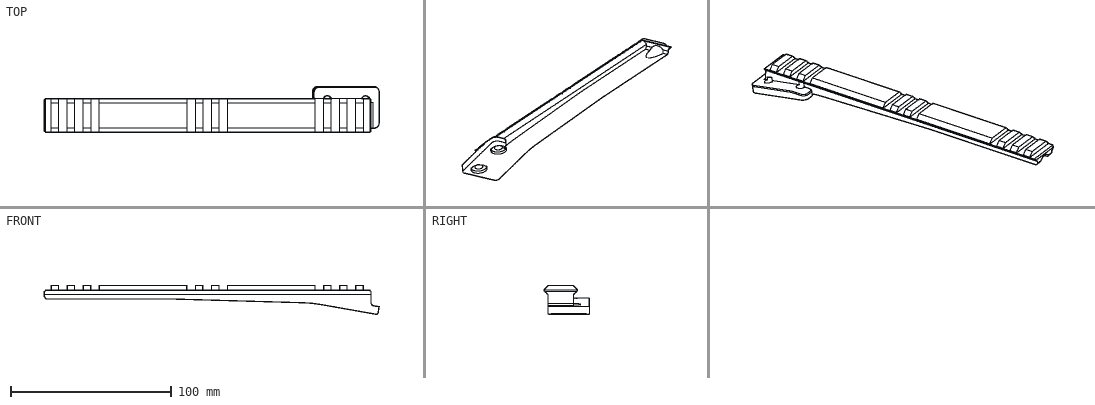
import cadquery as cq
import math


RAIL_LENGTH = 204.2
RAIL_HALF_WIDTH = 10.6
RAIL_TOP_HALF_WIDTH = 7.85
RAIL_EDGE_TOP_Z = RAIL_TOP_HALF_WIDTH - RAIL_HALF_WIDTH
RAIL_EDGE_HEIGHT = 0.4
STEM_HALF_WIDTH = 8.05
RAIL_EDGE_BOTTOM_Z = RAIL_EDGE_TOP_Z - RAIL_EDGE_HEIGHT
RAIL_BOTTOM_Z = RAIL_EDGE_BOTTOM_Z - (RAIL_HALF_WIDTH - STEM_HALF_WIDTH)
END_CHAMFER = 0.9

SLOT_WIDTH = 5.23
SLOT_PITCH = 10.01
SLOT_DEPTH = 3.0
FIRST_SLOT_X = 9.05
SLOT_NUMBERS = (0, 1, 2, 8, 9, 10, 16, 17, 18)
REAR_STEP_NUMBER = -1
FRONT_STEP_NUMBER = 19

STEM_BOTTOM_Z = -8.6
GENTLE_START_X = 80.5
STEEP_START_X = 167.4
GENTLE_SLOPE = math.tan(math.radians(1.64))
STEEP_ANGLE = 10.0
STEEP_SLOPE = math.tan(math.radians(STEEP_ANGLE))
BEND_RADIUS = 80.0
STEEP_START_Z = STEM_BOTTOM_Z - GENTLE_SLOPE * (STEEP_START_X - GENTLE_START_X)
STEM_REAR_CHAMFER_X = 1.2
STEM_REAR_CHAMFER_Z = 1.7

PLATE_REAR_X = 167.4
PLATE_FRONT_X = 209.24
PLATE_REAR_TOP_Z = -7.8
PLATE_BEND_X = 178.2
PLATE_BOTTOM_Z = -18.2
PLATE_LEFT_Y = 18.11
PLATE_RIGHT_Y = -STEM_HALF_WIDTH
PLATE_CORNER_RADIUS = 3.5
PLATE_EDGE_CHAMFER = 0.6
STEM_ROOT_BEVEL = 1.0

HOLE_DIAMETER = 5.0
HEAD_DIAMETER = 10.0
HEAD_DEPTH = 1.6
HOLE_Y = 9.8
HOLE_XS = (176.2, 200.0)
HOLE_HEIGHT = 7.0

RELIEF_RADIUS = 5.2
RELIEF_TOP_Z = -4.9
RELIEF_RUNOUT_X = 12.0


def steep_z(x):
    """Height of the steep underside at x."""
    return STEEP_START_Z - STEEP_SLOPE * (x - STEEP_START_X)


def plate_top_z(x):
    """Height of the sloping plate top at x."""
    return PLATE_REAR_TOP_Z - STEEP_SLOPE * (x - PLATE_BEND_X)


def extrude_across(outline, y_from, y_to):
    """Prism of an XZ outline between two Y positions."""
    return (
        cq.Workplane("XZ", origin=(0, y_to, 0))
        .polyline(outline)
        .close()
        .extrude(y_to - y_from)
    )


def slot_start(number):
    """Rear wall of a cross slot on the regular pitch."""
    return FIRST_SLOT_X + number * SLOT_PITCH


def make_slot(x_from, x_to):
    """Cutter across the rail top between two X positions."""
    middle = (x_from + x_to) / 2
    return (
        cq.Workplane("XY", origin=(middle, 0, -SLOT_DEPTH))
        .rect(x_to - x_from, 2 * RAIL_HALF_WIDTH)
        .extrude(SLOT_DEPTH)
    )


def make_end_envelope():
    """Block around the rail with bevelled upright corners and bevelled end steps."""
    lower = (
        cq.Workplane("XY", origin=(RAIL_LENGTH / 2, 0, RAIL_BOTTOM_Z))
        .rect(RAIL_LENGTH, 2 * RAIL_HALF_WIDTH)
        .extrude(-SLOT_DEPTH - RAIL_BOTTOM_Z)
        .edges("|Z or (>Z and |Y)")
        .chamfer(END_CHAMFER)
    )
    upper = make_slot(slot_start(REAR_STEP_NUMBER) + SLOT_WIDTH, slot_start(FRONT_STEP_NUMBER))
    return lower.union(upper)


def make_rail_head():
    """Dovetail rail with cross slots and a lower step at each end."""
    half_section = [
        (RAIL_TOP_HALF_WIDTH, 0),
        (RAIL_HALF_WIDTH, RAIL_EDGE_TOP_Z),
        (RAIL_HALF_WIDTH, RAIL_EDGE_BOTTOM_Z),
        (STEM_HALF_WIDTH, RAIL_BOTTOM_Z),
    ]
    mirrored = [(-y, z) for y, z in reversed(half_section)]
    head = cq.Workplane("YZ").polyline(half_section + mirrored).close().extrude(RAIL_LENGTH)
    for number in SLOT_NUMBERS:
        head = head.cut(make_slot(slot_start(number), slot_start(number) + SLOT_WIDTH))
    head = head.cut(make_slot(0, slot_start(REAR_STEP_NUMBER) + SLOT_WIDTH))
    head = head.cut(make_slot(slot_start(FRONT_STEP_NUMBER), RAIL_LENGTH))
    return head.intersect(make_end_envelope())


def make_stem():
    """Body under the rail: level, then gently and finally steeply deepening to the front."""
    outline = [
        (0, RAIL_BOTTOM_Z),
        (0, STEM_BOTTOM_Z + STEM_REAR_CHAMFER_Z),
        (STEM_REAR_CHAMFER_X, STEM_BOTTOM_Z),
        (GENTLE_START_X, STEM_BOTTOM_Z),
        (STEEP_START_X, STEEP_START_Z),
        (RAIL_LENGTH, steep_z(RAIL_LENGTH)),
        (RAIL_LENGTH, RAIL_BOTTOM_Z),
    ]
    stem = extrude_across(outline, -STEM_HALF_WIDTH, STEM_HALF_WIDTH)
    bend = cq.selectors.NearestToPointSelector((STEEP_START_X, 0, STEEP_START_Z))
    return stem.edges("|Y").edges(bend).fillet(BEND_RADIUS)


def slope_plane(x, y, z):
    """Workplane square to the plate slope: local x runs forward down the slope."""
    angle = math.radians(STEEP_ANGLE)
    return cq.Plane(
        origin=(x, y, z),
        xDir=(math.cos(angle), 0, -math.sin(angle)),
        normal=(math.sin(angle), 0, math.cos(angle)),
    )


def rounded_slab(rear_distance, front_distance, y_from, y_to):
    """Upright slab leaning with the slope; distances run down the slope from the plate's rear."""
    length = front_distance - rear_distance
    width = y_to - y_from
    return (
        cq.Workplane("XY")
        .rect(length, width)
        .extrude(-PLATE_BOTTOM_Z, both=True)
        .edges("|Z")
        .fillet(PLATE_CORNER_RADIUS)
        .translate((rear_distance + length / 2, y_from + width / 2, 0))
        .rotate((0, 0, 0), (0, 1, 0), STEEP_ANGLE)
        .translate((PLATE_REAR_X, 0, steep_z(PLATE_REAR_X)))
    )


def make_plate():
    """Sloping plate with a flat-topped lug at its rear left."""
    front_top_z = plate_top_z(PLATE_FRONT_X)
    toe_x = STEEP_START_X + (STEEP_START_Z - PLATE_BOTTOM_Z) / STEEP_SLOPE
    top_line = [
        (PLATE_FRONT_X, front_top_z),
        (PLATE_BEND_X, PLATE_REAR_TOP_Z),
        (PLATE_REAR_X, PLATE_REAR_TOP_Z),
    ]
    bottom_line = [
        (PLATE_REAR_X, steep_z(PLATE_REAR_X)),
        (toe_x, PLATE_BOTTOM_Z),
        (PLATE_FRONT_X, PLATE_BOTTOM_Z + PLATE_FRONT_X - toe_x),
    ]
    profile = extrude_across(bottom_line + top_line, PLATE_RIGHT_Y, PLATE_LEFT_Y)

    rear_z = steep_z(PLATE_REAR_X)
    angle = math.radians(STEEP_ANGLE)
    slope_length = (
        (PLATE_FRONT_X - PLATE_REAR_X) * math.cos(angle) + (rear_z - front_top_z) * math.sin(angle)
    )
    past_front = slope_length + 2 * PLATE_CORNER_RADIUS

    lug = profile.intersect(rounded_slab(0, past_front, STEM_HALF_WIDTH, PLATE_LEFT_Y))
    lug_middle_y = (STEM_HALF_WIDTH + PLATE_LEFT_Y) / 2
    bend = cq.selectors.NearestToPointSelector((PLATE_BEND_X, lug_middle_y, PLATE_REAR_TOP_Z))
    top_edges = cq.selectors.BoxSelector(
        (PLATE_REAR_X, 0, PLATE_BOTTOM_Z),
        (PLATE_FRONT_X - PLATE_CORNER_RADIUS, 2 * PLATE_LEFT_Y, 0),
    )
    flat_or_slope = f">Z or >({STEEP_SLOPE}, 0, 1)"
    lug = lug.faces(flat_or_slope).edges(top_edges - bend).chamfer(PLATE_EDGE_CHAMFER)

    foot = profile.intersect(
        rounded_slab(2 * PLATE_CORNER_RADIUS, past_front, PLATE_RIGHT_Y, lug_middle_y)
    )
    front_end = rounded_slab(-slope_length, slope_length, PLATE_RIGHT_Y, PLATE_LEFT_Y)
    return lug.union(foot).intersect(front_end)


def make_stem_root():
    """Straight bevel in the corner where the stem's front face meets the plate."""
    corner = (RAIL_LENGTH, plate_top_z(RAIL_LENGTH))
    above = (RAIL_LENGTH, corner[1] + STEM_ROOT_BEVEL)
    ahead_x = RAIL_LENGTH + STEM_ROOT_BEVEL
    return extrude_across(
        [corner, above, (ahead_x, plate_top_z(ahead_x))], -STEM_HALF_WIDTH, STEM_HALF_WIDTH
    )


def make_screw_hole(x):
    """Through hole with a flat head recess in the underside."""
    below = cq.Workplane(slope_plane(x, HOLE_Y, steep_z(x)))
    shank = below.circle(HOLE_DIAMETER / 2).extrude(HOLE_HEIGHT)
    head = below.circle(HEAD_DIAMETER / 2).extrude(HEAD_DEPTH)
    return shank.union(head)


def make_relief():
    """Tilted cylinder that leaves an arch at the rear end and runs out under the stem."""
    fall = math.atan2(RELIEF_TOP_Z - STEM_BOTTOM_Z, RELIEF_RUNOUT_X)
    plane = cq.Plane(
        origin=(0, 0, RELIEF_TOP_Z),
        xDir=(0, 1, 0),
        normal=(math.cos(fall), 0, -math.sin(fall)),
    )
    reach = 2 * RELIEF_RUNOUT_X
    return (
        cq.Workplane(plane)
        .center(0, -RELIEF_RADIUS)
        .circle(RELIEF_RADIUS)
        .extrude(reach, both=True)
    )


result = make_rail_head().union(make_stem()).union(make_plate()).union(make_stem_root())
for hole_x in HOLE_XS:
    result = result.cut(make_screw_hole(hole_x))
result = result.cut(make_relief())